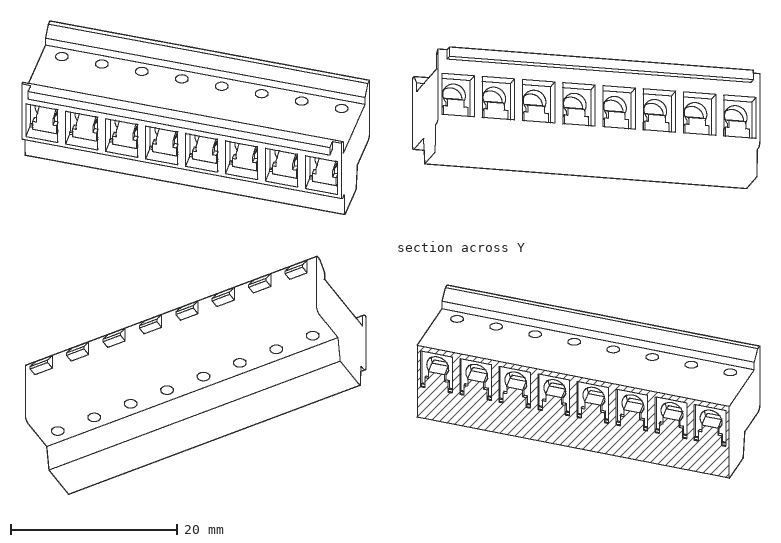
import cadquery as cq

length = 40.0
height = 12.55
body_depth = 12.35
pole_count = 8
pitch = 5.0

body_bottom = 3.4
deck_height = 10.3
front_wall = 0.9
ridge_depth = 2.05
ridge_step_height = 11.35
ridge_slope_run = 1.25
ridge_back_round = 0.25
front_bottom_round = 0.8
back_bottom_round = 0.7

foot_front_top = 1.3
foot_front_bottom = 1.45
foot_back_bottom = 6.5
foot_back_top = 7.05
foot_root_round = 0.15
foot_toe_round = 0.25

lip_reach = 1.15
lip_height = 1.2
lip_end_gap = 1.1
tab_width = 2.4
tab_reach = 1.15
tab_edge_height = 0.4
tab_top_drop = 0.2

screw_hole_diameter = 1.5
screw_hole_y = 8.8

pocket_width = 4.0
pocket_depth = 2.0
pocket_sill = 4.35
pocket_floor = 4.5
pocket_top = 9.5
ledge_top = 4.8
ledge_depth = 0.25

bore_diameter = 2.8
bore_z = 7.5
bore_end = 3.6

clamp_front = 1.25
clamp_base_width = 3.0
clamp_base_top = 5.9
clamp_bottom = 4.4
clamp_bottom_round = 0.4
clamp_neck_width = 2.1
clamp_neck_top = 6.85
clamp_nose_round = 0.3
clamp_ramp_end = 2.85
clamp_ramp_top = 7.3

pole_positions = [(i + 0.5) * pitch for i in range(pole_count)]


def extrude_along_x(profile, x_start, width):
    """Extrude a closed YZ profile in +X from x_start."""
    return profile.extrude(width).translate((x_start, 0, 0))


def box(x_center, width, y_range, z_range):
    """Box centred on x_center that fills the given Y and Z ranges."""
    corner = (x_center - width / 2, y_range[0], z_range[0])
    size = (width, y_range[1] - y_range[0], z_range[1] - z_range[0])
    return cq.Workplane("XY").box(*size, centered=False).translate(corner)


def round_edge(solid, y, z, radius):
    """Fillet the lengthwise edge that lies at the given Y and Z."""
    return solid.edges(cq.NearestToPointSelector((length / 2, y, z))).fillet(radius)


def make_body():
    ridge_front = body_depth - ridge_depth
    profile = cq.Workplane("YZ").moveTo(0, body_bottom).lineTo(0, height)
    profile = profile.radiusArc((front_wall, height - front_wall), front_wall)
    outline_points = [
        (front_wall, deck_height),
        (ridge_front, deck_height),
        (ridge_front, ridge_step_height),
        (ridge_front + ridge_slope_run, height),
        (body_depth, height),
        (body_depth, body_bottom),
        (foot_back_top, body_bottom),
        (foot_back_bottom, 0),
        (foot_front_bottom, 0),
        (foot_front_top, body_bottom),
    ]
    for y, z in outline_points:
        profile = profile.lineTo(y, z)
    profile = profile.close()
    body = extrude_along_x(profile, 0, length)
    rounded_edges = [
        (0, body_bottom, front_bottom_round),
        (body_depth, height, ridge_back_round),
        (body_depth, body_bottom, back_bottom_round),
        (foot_front_top, body_bottom, foot_root_round),
        (foot_front_bottom, 0, foot_toe_round),
    ]
    for y, z, radius in rounded_edges:
        body = round_edge(body, y, z, radius)
    return body


def make_lip():
    return box(length / 2, length - 2 * lip_end_gap, (-lip_reach, 0), (height - lip_height, height))


def make_tab(x_center):
    tip = body_depth + tab_reach
    root = body_depth - ridge_back_round
    tab_top = height - tab_top_drop
    profile = cq.Workplane("YZ").polyline([
        (root, deck_height),
        (tip, deck_height),
        (tip, deck_height + tab_edge_height),
        (body_depth, tab_top),
        (root, tab_top),
    ]).close()
    return extrude_along_x(profile, x_center - tab_width / 2, tab_width)


def make_screw_hole(x_center):
    return cq.Workplane("XY").center(x_center, screw_hole_y).circle(screw_hole_diameter / 2).extrude(height)


def make_clamp(x_center):
    """Wide base with a rounded lower front edge, carrying a neck that ramps up into the bore."""
    base = box(x_center, clamp_base_width, (clamp_front, bore_end), (clamp_bottom, clamp_base_top))
    base = base.edges("<Y and <Z").fillet(clamp_bottom_round)
    neck_root = clamp_bottom + clamp_bottom_round
    ramp_start = clamp_front + clamp_nose_round
    profile = (
        cq.Workplane("YZ")
        .moveTo(clamp_front, neck_root)
        .lineTo(clamp_front, clamp_neck_top - clamp_nose_round)
        .radiusArc((ramp_start, clamp_neck_top), clamp_nose_round)
        .lineTo(clamp_ramp_end, clamp_ramp_top)
        .lineTo(bore_end, clamp_ramp_top)
        .lineTo(bore_end, neck_root)
        .close()
    )
    neck = extrude_along_x(profile, x_center - clamp_neck_width / 2, clamp_neck_width)
    return base.union(neck)


def make_wire_entry(x_center):
    """Space removed for one wire: stepped pocket with a sloping floor, plus bore, less the clamp."""
    profile = cq.Workplane("YZ").polyline([
        (0, pocket_sill),
        (0, pocket_top),
        (pocket_depth, pocket_top),
        (pocket_depth, ledge_top),
        (pocket_depth - ledge_depth, ledge_top),
        (pocket_depth - ledge_depth, pocket_floor),
    ]).close()
    pocket = extrude_along_x(profile, x_center - pocket_width / 2, pocket_width)
    bore = cq.Workplane("XZ").center(x_center, bore_z).circle(bore_diameter / 2).extrude(-bore_end)
    return pocket.union(bore).cut(make_clamp(x_center))


result = make_body().union(make_lip())
for x_center in pole_positions:
    result = result.union(make_tab(x_center))
    result = result.cut(make_screw_hole(x_center))
    result = result.cut(make_wire_entry(x_center))